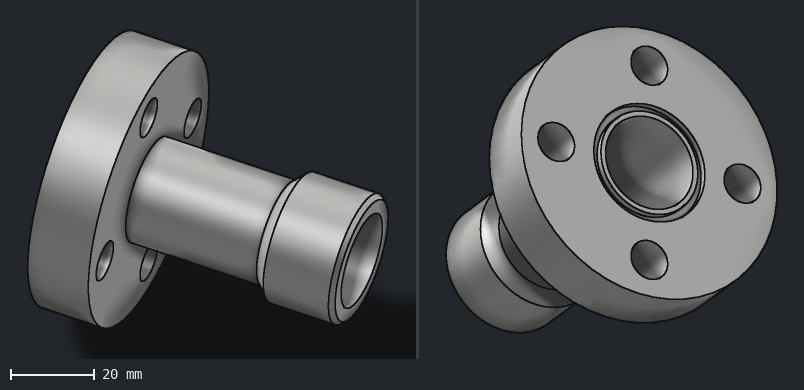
import cadquery as cq

total_length = 72.0
flange_diameter = 70.0
flange_thickness = 16.0

neck_diameter = 26.8
collar_diameter = 33.3
cone_start = 50.4
collar_chamfer = 1.2

bore_diameter = 23.9
groove_outer_diameter = 30.4
groove_inner_diameter = 26.5
groove_depth = 1.95

bolt_hole_diameter = 10.0
bolt_circle_diameter = 50.9
bolt_hole_count = 4


def turned_body():
    """Flange, neck and collar revolved as one profile."""
    neck_radius = neck_diameter / 2
    collar_radius = collar_diameter / 2
    cone_end = cone_start + collar_radius - neck_radius
    profile = (
        cq.Workplane("XY")
        .moveTo(0, 0)
        .lineTo(0, flange_diameter / 2)
        .lineTo(flange_thickness, flange_diameter / 2)
        .lineTo(flange_thickness, neck_radius)
        .lineTo(cone_start, neck_radius)
        .lineTo(cone_end, collar_radius)
        .lineTo(total_length - collar_chamfer, collar_radius)
        .lineTo(total_length, collar_radius - collar_chamfer)
        .lineTo(total_length, 0)
        .close()
    )
    return profile.revolve(360, (0, 0, 0), (1, 0, 0))


def bore():
    """Straight bore through the whole part."""
    return cq.Workplane("YZ").circle(bore_diameter / 2).extrude(total_length)


def face_groove():
    """Ring groove that leaves a thin lip around the bore, flush with the flange face."""
    return (
        cq.Workplane("YZ")
        .circle(groove_outer_diameter / 2)
        .circle(groove_inner_diameter / 2)
        .extrude(groove_depth)
    )


def bolt_holes():
    """Through holes equally spaced in the flange."""
    return (
        cq.Workplane("YZ")
        .polarArray(bolt_circle_diameter / 2, 0, 360, bolt_hole_count)
        .circle(bolt_hole_diameter / 2)
        .extrude(flange_thickness)
    )


result = turned_body().cut(bore()).cut(face_groove()).cut(bolt_holes())